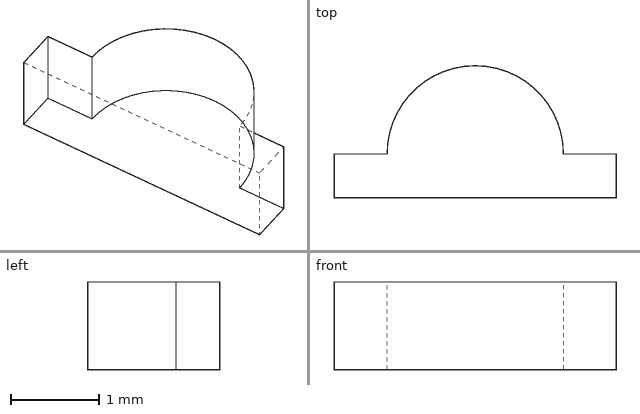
import cadquery as cq

length = 3.2
height = 1.0
depth = 1.5
plate_thickness = depth / 3
dome_radius = depth - plate_thickness

profile = (
    cq.Workplane("XY")
    .moveTo(-length / 2, 0)
    .lineTo(length / 2, 0)
    .lineTo(length / 2, plate_thickness)
    .lineTo(dome_radius, plate_thickness)
    .threePointArc((0, depth), (-dome_radius, plate_thickness))
    .lineTo(-length / 2, plate_thickness)
    .close()
)

result = profile.extrude(height)